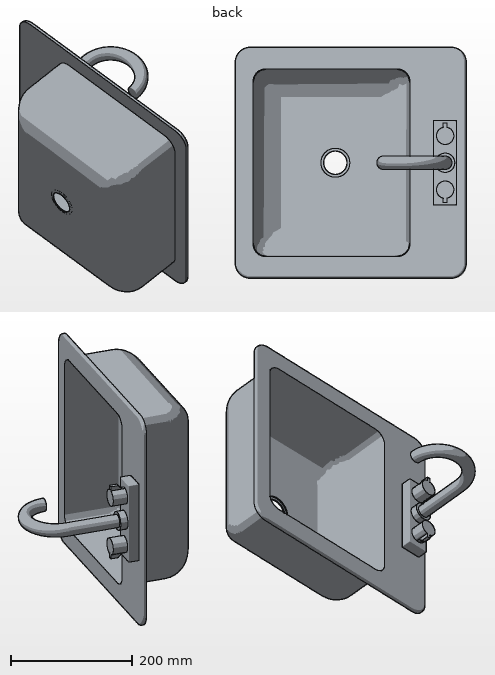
import cadquery as cq


deck_size = 381.0
deck_thickness = 6.35
deck_corner_radius = 25.4
deck_edge_radius = deck_thickness / 2

basin_right_margin = 25.4
basin_length_x = 266.7
basin_length_z = 317.5
basin_depth = 131.7625
basin_corner_radius = 25.4
basin_floor_radius = 2 * basin_corner_radius
wall = 3.96875

drain_x = 215.9
drain_diameter = 38.1
drain_seat_diameter = 47.625
drain_seat_depth = wall / 2

faucet_x = 34.925
faucet_base_width = 38.1
faucet_base_length = 139.7
faucet_base_height = 19.05
faucet_base_edge_radius = 1.190625

overall_depth = 314.325
collar_diameter = 31.75
collar_height = 12.7
spout_diameter = 22.225
spout_bend_radius = 50.8
spout_bend_angle = 180
spout_tip_radius = 1.27

handle_diameter = 28.575
handle_height = 25.4
handle_offset_z = 44.45
fin_width = 6.35
fin_projection = handle_diameter / 4
fin_depth = 12.7

deck_middle = deck_size / 2
basin_center_x = deck_size - basin_right_margin - basin_length_x / 2
spout_reach = overall_depth - basin_depth
spout_bend_y = spout_reach - spout_bend_radius - spout_diameter / 2
cut_overlap = 1.0


def facing_user(x, y, z):
    """Workplane at (x, y, z) whose normal is +Y; local x is +X and local y is -Z."""
    return cq.Workplane(cq.Plane(origin=(x, y, z), xDir=(1, 0, 0), normal=(0, 1, 0)))


def make_disc(x, y, z, diameter, height):
    """Cylinder that starts at (x, y, z) and grows towards +Y."""
    return facing_user(x, y, z).circle(diameter / 2).extrude(height)


def make_block(x, y, z, length_x, length_z, height):
    """Box centred on x and z that starts at y and grows towards +Y."""
    return facing_user(x, y, z).rect(length_x, length_z).extrude(height)


def make_deck():
    """Square plate with round corners and a rounded edge on the user side."""
    deck = make_block(deck_middle, -deck_thickness, deck_middle, deck_size, deck_size, deck_thickness)
    deck = deck.edges("|Y").fillet(deck_corner_radius)
    return deck.faces(">Y").edges().fillet(deck_edge_radius)


def make_basin_block(inset):
    """Rounded basin block, shrunk by the inset on its sides and floor."""
    block = make_block(
        basin_center_x,
        inset - basin_depth,
        deck_middle,
        basin_length_x - 2 * inset,
        basin_length_z - 2 * inset,
        basin_depth - inset,
    )
    block = block.faces("<Y").edges().fillet(basin_floor_radius - inset)
    corner_edges = block.edges("|Y").add(block.edges("%ELLIPSE"))
    return corner_edges.fillet(basin_corner_radius - inset)


def make_drain_cut():
    """Drain hole through the basin floor with a shallow seat on its inside."""
    hole_start_y = -basin_depth - cut_overlap
    hole = make_disc(drain_x, hole_start_y, deck_middle, drain_diameter, wall + 2 * cut_overlap)
    seat_y = wall - basin_depth - drain_seat_depth
    seat = make_disc(drain_x, seat_y, deck_middle, drain_seat_diameter, drain_seat_depth + cut_overlap)
    return hole.union(seat)


def make_faucet_base():
    """Block on the deck with all its edges rounded."""
    base = make_block(faucet_x, 0, deck_middle, faucet_base_width, faucet_base_length, faucet_base_height)
    return base.edges().fillet(faucet_base_edge_radius)


def make_spout():
    """Collar, straight riser and half-circle gooseneck with a rounded tip."""
    collar = make_disc(faucet_x, faucet_base_height, deck_middle, collar_diameter, collar_height)
    riser_length = spout_bend_y - faucet_base_height
    riser = make_disc(faucet_x, faucet_base_height, deck_middle, spout_diameter, riser_length)
    bend = (
        facing_user(faucet_x, spout_bend_y, deck_middle)
        .circle(spout_diameter / 2)
        .revolve(spout_bend_angle, (spout_bend_radius, 0), (spout_bend_radius, 1))
    )
    tip_center = (faucet_x + 2 * spout_bend_radius, spout_bend_y, deck_middle)
    tip_face = cq.selectors.NearestToPointSelector(tip_center)
    bend = bend.faces(tip_face).edges().fillet(spout_tip_radius)
    return collar.union(riser).union(bend)


def make_handle(side):
    """Round knob with a fin that points away from the spout; side is +1 or -1 along Z."""
    handle_z = deck_middle + side * handle_offset_z
    knob = make_disc(faucet_x, faucet_base_height, handle_z, handle_diameter, handle_height)
    top_y = faucet_base_height + handle_height
    fin_root_z = handle_z + side * handle_diameter / 2
    fin_end_z = fin_root_z + side * fin_projection
    fin_end_y = top_y - fin_depth
    fin = (
        cq.Workplane("YZ", origin=(faucet_x - fin_width / 2, 0, 0))
        .moveTo(faucet_base_height, handle_z)
        .lineTo(top_y, handle_z)
        .lineTo(top_y, fin_end_z)
        .lineTo(fin_end_y, fin_end_z)
        .lineTo(fin_end_y - fin_projection, fin_root_z)
        .lineTo(faucet_base_height, fin_root_z)
        .close()
        .extrude(fin_width)
    )
    return knob.union(fin)


sink = make_deck().union(make_basin_block(0))
sink = sink.cut(make_basin_block(wall)).cut(make_drain_cut())
result = sink.union(make_faucet_base()).union(make_spout())
for handle_side in (1, -1):
    result = result.union(make_handle(handle_side))